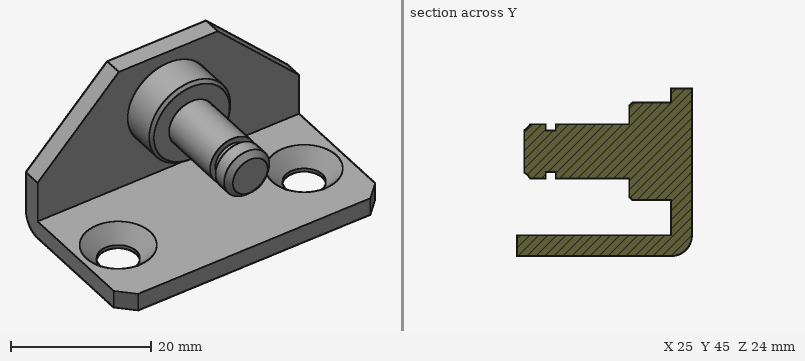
import cadquery as cq

length = 45.0
base_width = 25.0
height = 24.0
thickness = 3.0
bend_radius = thickness
base_corner_chamfer = 2.5
wall_corner_chamfer = 14.0

hole_diameter = 6.2
countersink_diameter = 11.02
countersink_angle = 90.0
hole_x = 14.0
hole_spacing = 32.0

pin_z = 15.0
collar_diameter = 14.0
collar_length = 6.0
collar_chamfer = 0.5
pin_diameter = 7.8
pin_end_x = 24.0
pin_chamfer = 0.9
groove_diameter = 6.0
groove_start_x = 19.5
groove_width = 1.4


def make_base():
    """Horizontal leg with clipped free corners and a rounded bend edge."""
    base = (
        cq.Workplane("XZ", origin=(0, length / 2, 0))
        .moveTo(bend_radius, 0)
        .lineTo(base_width, 0)
        .lineTo(base_width, thickness)
        .lineTo(0, thickness)
        .radiusArc((bend_radius, 0), -bend_radius)
        .close()
        .extrude(length)
    )
    return base.edges("|Z and >X").chamfer(base_corner_chamfer)


def make_wall():
    """Upright leg with large clipped top corners, standing above the bend."""
    wall = (
        cq.Workplane("XY")
        .workplane(offset=thickness)
        .box(thickness, length, height - thickness, centered=(False, True, False))
    )
    return wall.edges("|X and >Z").chamfer(wall_corner_chamfer)


def x_cylinder(diameter, start_x, end_x):
    """Cylinder on the pin axis between two X positions."""
    return (
        cq.Workplane("YZ", origin=(start_x, 0, pin_z))
        .circle(diameter / 2)
        .extrude(end_x - start_x)
    )


def make_pin():
    """Collared pin with a retaining-ring groove near its chamfered tip."""
    collar_end_x = thickness + collar_length
    groove_end_x = groove_start_x + groove_width
    collar = x_cylinder(collar_diameter, thickness, collar_end_x).faces(">X").chamfer(collar_chamfer)
    shank = x_cylinder(pin_diameter, collar_end_x, groove_start_x)
    groove_core = x_cylinder(groove_diameter, groove_start_x, groove_end_x)
    tip = x_cylinder(pin_diameter, groove_end_x, pin_end_x).faces(">X").chamfer(pin_chamfer)
    return collar.union(shank).union(groove_core).union(tip)


def cut_mounting_holes(body):
    """Drill the two holes through the base, countersunk from above."""
    return (
        body.copyWorkplane(cq.Workplane("XY", origin=(0, 0, thickness)))
        .pushPoints([(hole_x, side * hole_spacing / 2) for side in (-1, 1)])
        .cskHole(hole_diameter, countersink_diameter, countersink_angle, depth=thickness)
    )


base = cut_mounting_holes(make_base())
result = base.union(make_wall()).union(make_pin())